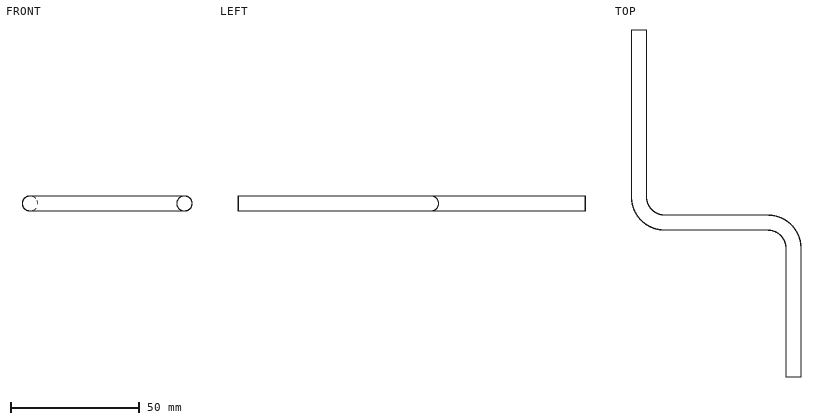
import cadquery as cq

total_length = 135.0
total_width = 66.0
rod_diameter = 6.0
bend_radius = 10.0
long_leg = 65.0

short_leg = total_length - long_leg - 2 * bend_radius
leg_spacing = total_width - rod_diameter
crossbar = leg_spacing - 2 * bend_radius

centreline = (
    cq.Workplane("XY")
    .moveTo(leg_spacing, 0)
    .lineTo(leg_spacing, short_leg)
    .tangentArcPoint((-bend_radius, bend_radius))
    .line(-crossbar, 0)
    .tangentArcPoint((-bend_radius, bend_radius))
    .line(0, long_leg)
)

result = (
    cq.Workplane("XZ", origin=(leg_spacing, 0, 0))
    .circle(rod_diameter / 2)
    .sweep(centreline)
)